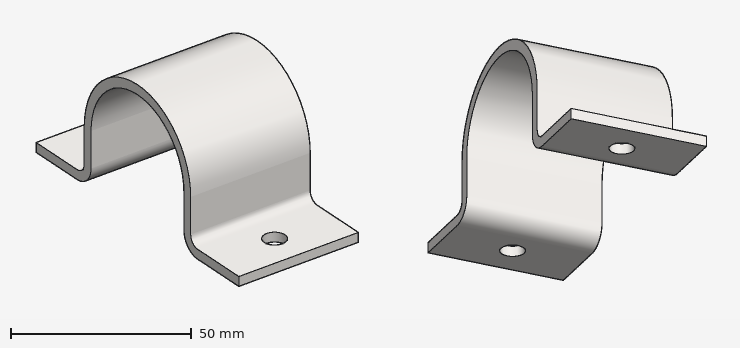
import cadquery as cq

length = 93.6625
width = 41.275
height = 42.8625
thickness = 3.175

saddle_inner_radius = 21.43125
saddle_outer_radius = saddle_inner_radius + thickness
bend_inner_radius = 3.175
bend_outer_radius = bend_inner_radius + thickness
saddle_center_z = height - saddle_outer_radius
bend_center_x = saddle_outer_radius + bend_inner_radius
bend_center_z = bend_outer_radius

hole_diameter = 7.14375
hole_spacing = 71.4375


def make_strap():
    """Bent strip of constant thickness, extruded symmetrically about Y = 0."""
    half_length = length / 2
    profile = (
        cq.Workplane("XZ")
        .moveTo(-half_length, thickness)
        .lineTo(-bend_center_x, thickness)
        .radiusArc((-saddle_outer_radius, bend_center_z), -bend_inner_radius)
        .lineTo(-saddle_outer_radius, saddle_center_z)
        .threePointArc((0, height), (saddle_outer_radius, saddle_center_z))
        .lineTo(saddle_outer_radius, bend_center_z)
        .radiusArc((bend_center_x, thickness), -bend_inner_radius)
        .lineTo(half_length, thickness)
        .lineTo(half_length, 0)
        .lineTo(bend_center_x, 0)
        .radiusArc((saddle_inner_radius, bend_center_z), bend_outer_radius)
        .lineTo(saddle_inner_radius, saddle_center_z)
        .threePointArc((0, height - thickness), (-saddle_inner_radius, saddle_center_z))
        .lineTo(-saddle_inner_radius, bend_center_z)
        .radiusArc((-bend_center_x, 0), bend_outer_radius)
        .lineTo(-half_length, 0)
        .close()
    )
    return profile.extrude(width / 2, both=True)


def make_mounting_holes():
    """One through hole centred across the width of each foot."""
    return (
        cq.Workplane("XY")
        .pushPoints([(-hole_spacing / 2, 0), (hole_spacing / 2, 0)])
        .circle(hole_diameter / 2)
        .extrude(thickness)
    )


result = make_strap().cut(make_mounting_holes())